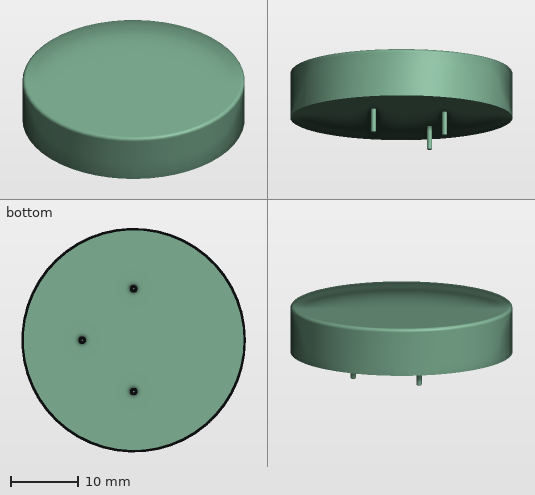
import cadquery as cq

body_diameter = 33.0
body_height = 7.1
rim_radius = 0.5

pin_diameter = 0.8
pin_length = 3.5
pin_tip_chamfer = 0.1
pin_offset = 7.62
pin_positions = [(-pin_offset, 0), (0, pin_offset), (0, -pin_offset)]


def make_body():
    """Disc standing on the XY plane, with a rounded top rim."""
    disc = cq.Workplane("XY").circle(body_diameter / 2).extrude(body_height)
    return disc.faces(">Z").edges().fillet(rim_radius)


def make_pins():
    """Three pins pointing down from the underside, with chamfered tips."""
    pins = cq.Workplane("XY").pushPoints(pin_positions).circle(pin_diameter / 2).extrude(-pin_length)
    return pins.faces("<Z").edges().chamfer(pin_tip_chamfer)


result = make_body().union(make_pins())